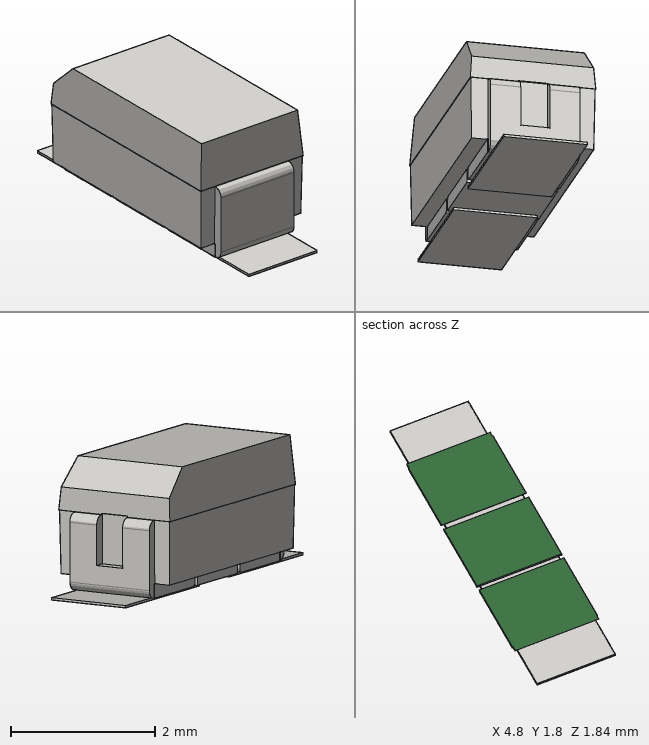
import cadquery as cq
import math

BODY_LENGTH = 3.40
BODY_WIDTH = 1.80
BODY_TOP = 1.805
PARTING_Z = 1.10
BODY_BOTTOM = 0.20
UPPER_DRAFT = 4.5
LOWER_DRAFT = 1.0
PARTING_STEP = 0.008

SLOPE_LENGTH = 0.43
SLOPE_START_Z = 1.425

PLATE_THICKNESS = 0.125
BEND_RADIUS = PLATE_THICKNESS
PLATE_TOP = 1.095
PLATE_WIDTH = 1.285
PLATE_EMBED = 0.06
FOOT_WIDTH = 1.305
FOOT_LENGTH = 1.095
FOOT_EDGE_RADIUS = 0.05

SLOT_WIDTH = 0.42
SLOT_BOTTOM = 0.40
SLOT_TOP = 1.115
SLOT_RECESS = 0.03

BLOCK_LENGTH = 1.085

PAD_LENGTH = 2.0
PAD_WIDTH = 1.20
PAD_THICKNESS = 0.035
PAD_SPAN = 4.80
PAD_SHIFT = 0.004

BODY_END = BODY_LENGTH / 2


def box(x_min, x_max, width, z_min, z_max):
    """Box centred on Y = 0."""
    length = x_max - x_min
    return (
        cq.Workplane("XY")
        .box(length, width, z_max - z_min, centered=(False, True, False))
        .translate((x_min, 0, z_min))
    )


def make_upper_body():
    height = BODY_TOP - PARTING_Z
    upper = (
        cq.Workplane("XY", origin=(0, 0, PARTING_Z))
        .rect(BODY_LENGTH, BODY_WIDTH)
        .extrude(height, taper=UPPER_DRAFT)
    )
    wall_x = -BODY_END + (SLOPE_START_Z - PARTING_Z) * math.tan(math.radians(UPPER_DRAFT))
    top_x = -BODY_END + SLOPE_LENGTH
    rise = BODY_TOP - SLOPE_START_Z
    run = top_x - wall_x
    cutter = (
        cq.Workplane("XZ")
        .moveTo(wall_x - run, SLOPE_START_Z - rise)
        .lineTo(top_x + run, BODY_TOP + rise)
        .lineTo(wall_x - run, BODY_TOP + rise)
        .close()
        .extrude(BODY_WIDTH / 2, both=True)
    )
    return upper.cut(cutter)


def make_lower_body():
    return (
        cq.Workplane("XY", origin=(0, 0, PARTING_Z))
        .rect(BODY_LENGTH - 2 * PARTING_STEP, BODY_WIDTH - 2 * PARTING_STEP)
        .extrude(BODY_BOTTOM - PARTING_Z, taper=LOWER_DRAFT)
    )


def make_plate():
    """Upright plate at the -X end, rounded along its outer top and bottom edges."""
    plate = box(-BODY_END - PLATE_THICKNESS, -BODY_END + PLATE_EMBED, PLATE_WIDTH, 0, PLATE_TOP)
    return plate.edges("<X and |Y").fillet(BEND_RADIUS)


def make_foot():
    """Foot at the -X end, rounded along its inner bottom edge."""
    foot = box(-BODY_END, -BODY_END + FOOT_LENGTH, FOOT_WIDTH, 0, BODY_BOTTOM)
    return foot.edges(">X and <Z").fillet(FOOT_EDGE_RADIUS)


def make_slot():
    """Cutter for the slot in the -X plate and the shallow recess behind it."""
    return box(-BODY_END - PLATE_THICKNESS, -BODY_END + SLOT_RECESS, SLOT_WIDTH, SLOT_BOTTOM, SLOT_TOP)


def make_pad(side):
    """Solder pad at the -X end (side = -1) or the +X end (side = 1)."""
    center_x = PAD_SHIFT + side * (PAD_SPAN - PAD_LENGTH) / 2
    return box(center_x - PAD_LENGTH / 2, center_x + PAD_LENGTH / 2, PAD_WIDTH, -PAD_THICKNESS, 0)


terminal = make_plate().union(make_foot())
block = box(-BLOCK_LENGTH / 2, BLOCK_LENGTH / 2, FOOT_WIDTH, 0, BODY_BOTTOM)

result = make_lower_body().union(make_upper_body()).union(block)
result = result.union(terminal).union(terminal.mirror("YZ"))
result = result.cut(make_slot())
for side in (-1, 1):
    result = result.union(make_pad(side))